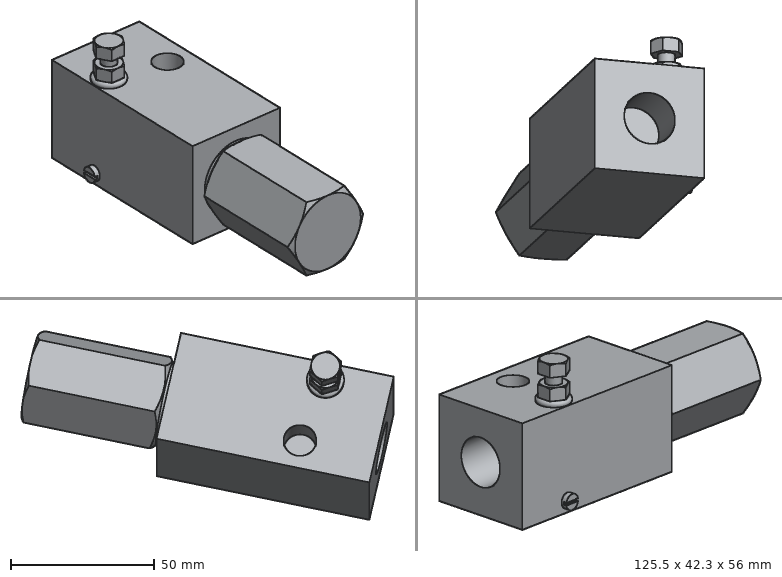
import cadquery as cq
import math


hex_chamfer_angle = 30.0

total_length = 125.5
housing_width = 40.0
housing_length = 76.0
bore_diameter = 18.6
bore_depth = 18.8
port_diameter = 11.4
port_depth = 10.0
port_x = 27.0
port_y = 10.0

cartridge_across_flats = 30.0
collar_diameter = 29.0
collar_length = 1.5
cartridge_inner_face_diameter = collar_diameter
cartridge_outer_face_diameter = cartridge_across_flats

screw_x = 23.0
screw_edge_distance = 6.7
washer_diameter = 13.0
washer_thickness = 2.0
washer_rim_radius = 1.3
screw_hex_across_flats = 10.0
screw_hex_height = 5.0
shank_diameter = 6.1
screw_height = 16.0

slotted_diameter = 6.0
slotted_projection = 2.3
slotted_edge_distance = 4.5
slot_width = 1.0
slot_depth = 1.3

top_z = housing_width / 2
front_y = -housing_width / 2


def corner_radius(across_flats):
    """Distance from the centre of a hexagon to its corners."""
    return across_flats / math.cos(math.pi / 6) / 2


def corner_chamfer_height(across_flats, face_diameter):
    """Axial height of the cone from the end face circle out to the hexagon corners."""
    radial_width = corner_radius(across_flats) - face_diameter / 2
    return radial_width * math.tan(math.radians(hex_chamfer_angle))


def chamfered_hexagon(across_flats, height, top_diameter, base_diameter=None):
    """Hexagonal bar along +Z with corners on the Y axis, turned down at the top.

    The corners at the base are turned down too when a base diameter is given.
    """
    outer_radius = corner_radius(across_flats)
    top_chamfer = corner_chamfer_height(across_flats, top_diameter)
    blank = cq.Workplane("XZ")
    if base_diameter is None:
        blank = blank.lineTo(outer_radius, 0)
    else:
        base_chamfer = corner_chamfer_height(across_flats, base_diameter)
        blank = blank.lineTo(base_diameter / 2, 0).lineTo(outer_radius, base_chamfer)
    blank = (
        blank.lineTo(outer_radius, height - top_chamfer)
        .lineTo(top_diameter / 2, height)
        .lineTo(0, height)
        .close()
        .revolve(360, (0, 0, 0), (0, 1, 0))
    )
    bar = cq.Workplane("XY").polygon(6, 2 * outer_radius).extrude(height)
    return bar.rotate((0, 0, 0), (0, 0, 1), 90).intersect(blank)


def make_housing():
    """Square block with a blind inlet bore and a blind side port in the top."""
    block = cq.Workplane("YZ").rect(housing_width, housing_width).extrude(housing_length)
    bore = cq.Workplane("YZ").circle(bore_diameter / 2).extrude(bore_depth)
    port = (
        cq.Workplane("XY", origin=(port_x, port_y, top_z))
        .circle(port_diameter / 2)
        .extrude(-port_depth)
    )
    return block.cut(bore).cut(port)


def make_cartridge():
    """Long hexagon behind a short round collar, with two corners pointing along Y."""
    hexagon_length = total_length - housing_length - collar_length
    collar = cq.Workplane("XY").circle(collar_diameter / 2).extrude(collar_length)
    hexagon = chamfered_hexagon(
        cartridge_across_flats,
        hexagon_length,
        cartridge_outer_face_diameter,
        cartridge_inner_face_diameter,
    ).translate((0, 0, collar_length))
    upright = collar.union(hexagon)
    return upright.rotate((0, 0, 0), (0, 1, 0), 90).translate((housing_length, 0, 0))


def make_washer():
    """Disc with a bulging rim: one arc, level with the top face and widest below mid-height."""
    rim_centre_radius = washer_diameter / 2 - washer_rim_radius
    rim_centre_z = washer_thickness - washer_rim_radius
    base_radius = rim_centre_radius + math.sqrt(washer_rim_radius**2 - rim_centre_z**2)
    return (
        cq.Workplane("XZ")
        .lineTo(base_radius, 0)
        .threePointArc((washer_diameter / 2, rim_centre_z), (rim_centre_radius, washer_thickness))
        .lineTo(0, washer_thickness)
        .close()
        .revolve(360, (0, 0, 0), (0, 1, 0))
    )


def make_adjusting_screw():
    """Washer, lock nut, shank and hexagon head stacked on one axis."""
    shank = cq.Workplane("XY").circle(shank_diameter / 2).extrude(screw_height)
    screw = make_washer().union(shank)
    hexagon = chamfered_hexagon(screw_hex_across_flats, screw_hex_height, screw_hex_across_flats)
    for base_z in (washer_thickness, screw_height - screw_hex_height):
        screw = screw.union(hexagon.translate((0, 0, base_z)))
    return screw.translate((screw_x, front_y + screw_edge_distance, top_z))


def make_slotted_screw():
    """Short cylinder with a straight slot along X in its outer end."""
    screw_z = slotted_edge_distance - top_z
    cylinder = (
        cq.Workplane("XZ", origin=(screw_x, front_y, screw_z))
        .circle(slotted_diameter / 2)
        .extrude(slotted_projection)
    )
    slot = (
        cq.Workplane("XZ", origin=(screw_x, front_y - slotted_projection, screw_z))
        .rect(slotted_diameter, slot_width)
        .extrude(-slot_depth)
    )
    return cylinder.cut(slot)


housing = make_housing()
cartridge = make_cartridge()
adjusting_screw = make_adjusting_screw()
slotted_screw = make_slotted_screw()

result = cq.Compound.makeCompound(
    [housing.val(), cartridge.val(), adjusting_screw.val(), slotted_screw.val()]
)